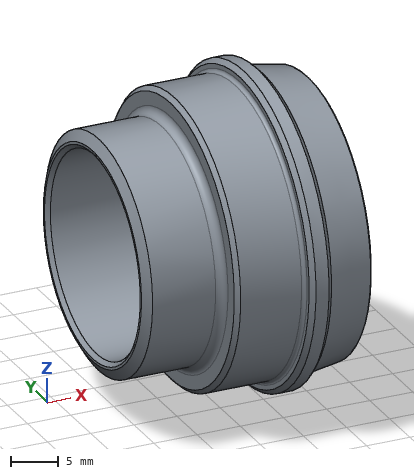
import cadquery as cq
import math

length = 25.0
body_start = 9.0
collar_start = 17.0
collar_end = 19.6

bore_radius = 22.9 / 2
neck_radius = 26.9 / 2
body_radius = 33.0 / 2
collar_radius = 36.0 / 2

taper_tip_radius = 15.95
taper_angle = math.radians(10)
taper_root_radius = taper_tip_radius + (length - collar_end) * math.tan(taper_angle)

neck_chamfer_length = 0.72
neck_chamfer_depth = 1.22
bore_chamfer = 0.45
body_chamfer = 0.5
collar_chamfer = 0.55
neck_fillet = 0.97
collar_front_fillet = 0.45
collar_back_fillet = 0.32
tip_chamfer = 0.18


def turned_blank():
    """Revolve the stepped wall, with its chamfers, about the X axis."""
    profile = [
        (bore_chamfer, bore_radius),
        (0, bore_radius + bore_chamfer),
        (0, neck_radius - neck_chamfer_depth),
        (neck_chamfer_length, neck_radius),
        (body_start, neck_radius),
        (body_start, body_radius - body_chamfer),
        (body_start + body_chamfer, body_radius),
        (collar_start, body_radius),
        (collar_start, collar_radius - collar_chamfer),
        (collar_start + collar_chamfer, collar_radius),
        (collar_end - collar_chamfer, collar_radius),
        (collar_end, collar_radius - collar_chamfer),
        (collar_end, taper_root_radius),
        (length - tip_chamfer, taper_tip_radius + tip_chamfer * math.tan(taper_angle)),
        (length, taper_tip_radius - tip_chamfer),
        (length, bore_radius),
    ]
    return cq.Workplane("XY").polyline(profile).close().revolve(360, (0, 0), (1, 0))


def round_corner(body, x, radius, fillet):
    """Fill the inside corner where a shoulder meets a smaller diameter."""
    corner = [
        edge
        for edge in body.edges("%CIRCLE").vals()
        if math.isclose(edge.Center().x, x, abs_tol=0.005)
        and math.isclose(edge.radius(), radius, abs_tol=0.005)
    ]
    return body.newObject(corner).fillet(fillet)


result = turned_blank()
result = round_corner(result, body_start, neck_radius, neck_fillet)
result = round_corner(result, collar_start, body_radius, collar_front_fillet)
result = round_corner(result, collar_end, taper_root_radius, collar_back_fillet)